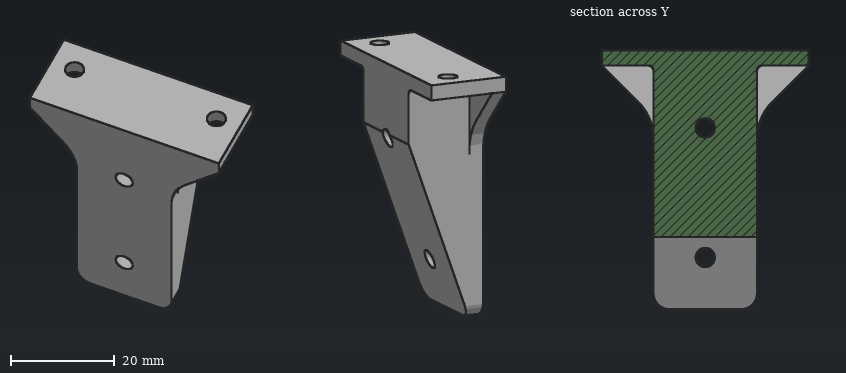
import cadquery as cq
import math

width = 40
depth = 16
height = 50

plate_thickness = 3
stem_width = 20
flare_radius = 10
foot_radius = 3

gusset_shoulder_height = 36
gusset_fillet = 1

hole_diameter = 3.6
stem_hole_heights = (10, 35)
top_hole_spacing = 30
top_hole_depth_position = 10

half_width = width / 2
half_stem = stem_width / 2
shelf_bottom = height - plate_thickness


def make_front_plate():
    """Plate with a stem that flares at 45 degrees through tangent arcs to the full width."""
    angle = math.radians(45)
    flare_center_x = half_stem + flare_radius
    tangent_x = flare_center_x - flare_radius * math.cos(angle)
    tangent_z = shelf_bottom - (half_width - tangent_x)
    arc_bottom = tangent_z - flare_radius * math.sin(angle)
    arc_middle = (
        flare_center_x - flare_radius * math.cos(angle / 2),
        arc_bottom + flare_radius * math.sin(angle / 2),
    )
    half_plate = (
        cq.Workplane("XZ")
        .lineTo(half_stem, 0)
        .lineTo(half_stem, arc_bottom)
        .threePointArc(arc_middle, (tangent_x, tangent_z))
        .lineTo(half_width, shelf_bottom)
        .lineTo(half_width, height)
        .lineTo(0, height)
        .close()
        .extrude(-plate_thickness)
    )
    return half_plate.union(half_plate.mirror("YZ"))


def make_shelf():
    """Horizontal plate across the top."""
    return (
        cq.Workplane("XY", origin=(0, 0, shelf_bottom))
        .box(width, depth, plate_thickness, centered=(True, False, False))
    )


def make_gusset():
    """Tapered body under the shelf, as wide as the stem."""
    return (
        cq.Workplane("YZ")
        .polyline(
            [
                (0, 0),
                (plate_thickness, 0),
                (depth, gusset_shoulder_height),
                (depth, shelf_bottom),
                (0, shelf_bottom),
            ]
        )
        .close()
        .extrude(half_stem, both=True)
    )


def make_shelf_fillet(side):
    """Concave strip between the shelf and one side (-1 or 1) of the gusset."""
    mid_offset = gusset_fillet * (1 - math.sqrt(0.5))
    return (
        cq.Workplane("XZ")
        .moveTo(side * half_stem, shelf_bottom)
        .lineTo(side * half_stem, shelf_bottom - gusset_fillet)
        .threePointArc(
            (side * (half_stem + mid_offset), shelf_bottom - mid_offset),
            (side * (half_stem + gusset_fillet), shelf_bottom),
        )
        .close()
        .extrude(-depth)
    )


def make_hole(plane, position, length):
    return cq.Workplane(plane).center(*position).circle(hole_diameter / 2).extrude(length)


result = make_front_plate().union(make_gusset()).union(make_shelf())

result = result.faces("<Z").edges("|Y").fillet(foot_radius)

for side in (-1, 1):
    result = result.union(make_shelf_fillet(side))
    top_hole_position = (side * top_hole_spacing / 2, top_hole_depth_position)
    result = result.cut(make_hole("XY", top_hole_position, height))

for hole_height in stem_hole_heights:
    result = result.cut(make_hole("XZ", (0, hole_height), -depth))